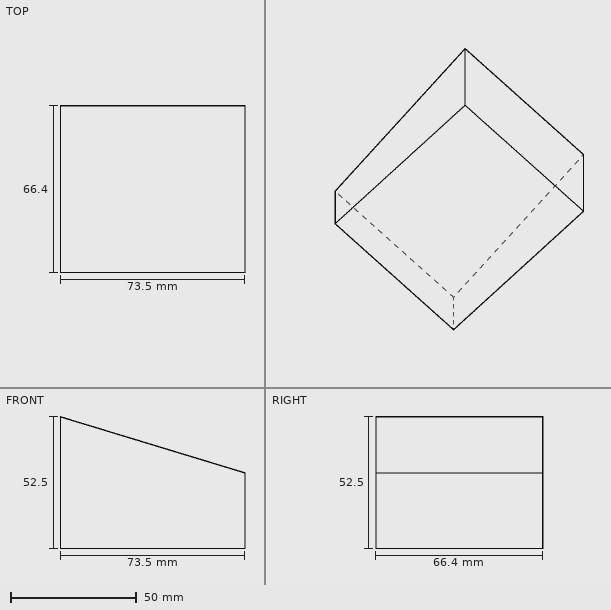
import cadquery as cq

length = 73.5
width = 66.4
tall_height = 52.5
low_height = 30.1

side_profile = (
    cq.Workplane("XZ")
    .moveTo(-length / 2, 0)
    .lineTo(length / 2, 0)
    .lineTo(length / 2, low_height)
    .lineTo(-length / 2, tall_height)
    .close()
)

result = side_profile.extrude(width / 2, both=True)